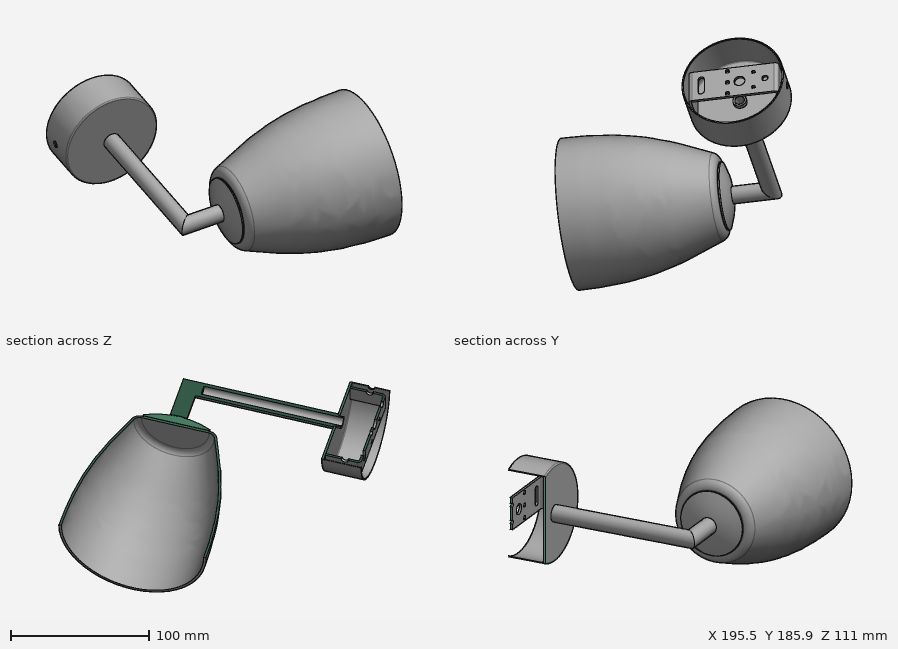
import cadquery as cq
import math

CANOPY_DIAMETER = 75.0
CANOPY_DEPTH = 30.0
CANOPY_WALL = 1.0
CANOPY_FLOOR = 2.0
CANOPY_EDGE_RADIUS = 1.0
CANOPY_INNER_EDGE_RADIUS = 0.5
CANOPY_FLOOR_X = CANOPY_DEPTH - CANOPY_FLOOR
CANOPY_RADIUS = CANOPY_DIAMETER / 2
CANOPY_INNER_RADIUS = CANOPY_RADIUS - CANOPY_WALL

BRACKET_LENGTH = 66.5
BRACKET_HEIGHT = 25.0
BRACKET_SHEET = 2.0
BRACKET_BACK_X = 1.25
BEND_OUTER_RADIUS = 3.0
MOUNT_OFFSET = 23.5
MOUNT_DIAMETER = 4.5
SLOT_LENGTH = 15.0
CENTRE_HOLE_Y = -4.75
CENTRE_HOLE_DIAMETER = 8.0
TRIO_Y = 4.25
TRIO_PITCH = 9.75
TRIO_DIAMETER = 3.0
PAIR_Y = -15.0
PAIR_PITCH = 13.3
PAIR_DIAMETER = 2.5

SCREW_HOLE_DIAMETER = 5.0
SCREW_HOLE_X = 13.5

ARM_DIAMETER = 13.0
SPIGOT_DIAMETER = 10.0
SPIGOT_END_X = 25.0
ARM_BORE_DIAMETER = 7.0
ARM_BORE_END_X = 130.0
ARM_CORNER_X = 140.0

DOME_APEX_Y = 28.0
DOME_EDGE_Y = 33.4
DOME_RADIUS = 25.0
DOME_RIM_TOP_Y = 34.5
DOME_SEAT_RADIUS = 24.6

SHADE_BOTTOM_Y = 34.9
SHADE_TOP_Y = 148.4
SHADE_RADIUS = 55.5
SHADE_WALL = 2.0
SHADE_BOTTOM_RADIUS = 25.4
SHADE_ROUNDING_RADIUS = 7.4
SHADE_FOOT_ANGLE = math.radians(23)
SHADE_MIDDLE_Y = 91.0
SHADE_MIDDLE_RADIUS = 50.0


def rod(direction, diameter, start, end, first=0.0, second=0.0):
    """Cylinder along +X or +Y; first and second place its axis (Y, Z or X, Z)."""
    if direction == "X":
        base, axis = cq.Vector(start, first, second), cq.Vector(1, 0, 0)
    else:
        base, axis = cq.Vector(first, start, second), cq.Vector(0, 1, 0)
    return cq.Workplane(cq.Solid.makeCylinder(diameter / 2, end - start, base, axis))


def make_canopy():
    outside = rod("X", CANOPY_DIAMETER, 0, CANOPY_DEPTH).faces(">X").edges().fillet(CANOPY_EDGE_RADIUS)
    inside = rod("X", 2 * CANOPY_INNER_RADIUS, 0, CANOPY_FLOOR_X)
    inside = inside.faces(">X").edges().fillet(CANOPY_INNER_EDGE_RADIUS)
    spigot_hole = rod("X", SPIGOT_DIAMETER, CANOPY_FLOOR_X, CANOPY_DEPTH)
    screw_hole = rod("Y", SCREW_HOLE_DIAMETER, -CANOPY_RADIUS, 0, SCREW_HOLE_X)
    return outside.cut(inside).cut(spigot_hole).cut(screw_hole)


def make_bracket():
    depth = CANOPY_FLOOR_X - BRACKET_BACK_X
    outside = (
        cq.Workplane("XY")
        .box(depth, BRACKET_LENGTH, BRACKET_HEIGHT, centered=(False, True, True))
        .edges("|Z and <X")
        .fillet(BEND_OUTER_RADIUS)
    )
    inside = (
        cq.Workplane("XY")
        .box(depth, BRACKET_LENGTH - 2 * BRACKET_SHEET, BRACKET_HEIGHT, centered=(False, True, True))
        .edges("|Z and <X")
        .fillet(BEND_OUTER_RADIUS - BRACKET_SHEET)
        .translate((BRACKET_SHEET, 0, 0))
    )
    bracket = outside.cut(inside).translate((BRACKET_BACK_X, 0, 0))

    holes = [
        (MOUNT_DIAMETER, -MOUNT_OFFSET, 0),
        (CENTRE_HOLE_DIAMETER, CENTRE_HOLE_Y, 0),
    ]
    holes += [(TRIO_DIAMETER, TRIO_Y, row * TRIO_PITCH) for row in (-1, 0, 1)]
    holes += [(PAIR_DIAMETER, PAIR_Y, side * PAIR_PITCH / 2) for side in (-1, 1)]
    web_inner_x = BRACKET_BACK_X + BRACKET_SHEET
    for diameter, y, z in holes:
        bracket = bracket.cut(rod("X", diameter, BRACKET_BACK_X, web_inner_x, y, z))

    slot = (
        cq.Workplane("YZ", origin=(BRACKET_BACK_X, MOUNT_OFFSET, 0))
        .slot2D(SLOT_LENGTH, MOUNT_DIAMETER, 90)
        .extrude(BRACKET_SHEET)
    )
    screw_holes = rod("Y", SCREW_HOLE_DIAMETER, -CANOPY_RADIUS, CANOPY_RADIUS, SCREW_HOLE_X)
    return bracket.cut(slot).cut(screw_holes)


def make_arm(dome):
    radius = ARM_DIAMETER / 2
    tip_x = ARM_CORNER_X + radius
    long_leg = rod("X", ARM_DIAMETER, CANOPY_DEPTH, tip_x)
    short_leg = rod("Y", ARM_DIAMETER, -radius, DOME_EDGE_Y, ARM_CORNER_X)

    mitre = (
        cq.Workplane("XY", origin=(0, 0, -radius))
        .moveTo(tip_x, -radius)
        .lineTo(CANOPY_DEPTH, -radius)
        .lineTo(CANOPY_DEPTH, tip_x - CANOPY_DEPTH - radius)
        .close()
        .extrude(ARM_DIAMETER)
    )
    arm = long_leg.intersect(mitre).union(short_leg.cut(mitre)).cut(dome)

    spigot = rod("X", SPIGOT_DIAMETER, SPIGOT_END_X, CANOPY_DEPTH)
    bore = rod("X", ARM_BORE_DIAMETER, SPIGOT_END_X, ARM_BORE_END_X)
    return arm.union(spigot).cut(bore)


def make_dome():
    rise = DOME_EDGE_Y - DOME_APEX_Y
    sphere_radius = (DOME_RADIUS**2 + rise**2) / (2 * rise)
    half_angle = math.asin(DOME_RADIUS / sphere_radius) / 2
    arc_middle = (
        sphere_radius * math.sin(half_angle),
        DOME_APEX_Y + sphere_radius * (1 - math.cos(half_angle)),
    )
    profile = (
        cq.Workplane("XY")
        .moveTo(0, DOME_APEX_Y)
        .threePointArc(arc_middle, (DOME_RADIUS, DOME_EDGE_Y))
        .lineTo(DOME_RADIUS, DOME_RIM_TOP_Y)
        .lineTo(DOME_SEAT_RADIUS, DOME_RIM_TOP_Y)
        .lineTo(DOME_SEAT_RADIUS, SHADE_BOTTOM_Y)
        .lineTo(0, SHADE_BOTTOM_Y)
        .close()
    )
    return profile.revolve(360, (0, 0, 0), (0, 1, 0)).translate((ARM_CORNER_X, 0, 0))


def shade_volume(inset):
    """Bell turned about the shade axis, all its sides moved inward by inset."""
    rounding = SHADE_ROUNDING_RADIUS - inset
    rounding_centre_y = SHADE_BOTTOM_Y + SHADE_ROUNDING_RADIUS
    foot = (
        SHADE_BOTTOM_RADIUS + rounding * math.cos(SHADE_FOOT_ANGLE),
        rounding_centre_y - rounding * math.sin(SHADE_FOOT_ANGLE),
    )
    foot_direction = (math.sin(SHADE_FOOT_ANGLE), math.cos(SHADE_FOOT_ANGLE))
    profile = (
        cq.Workplane("XY")
        .moveTo(0, SHADE_BOTTOM_Y + inset)
        .lineTo(SHADE_BOTTOM_RADIUS, SHADE_BOTTOM_Y + inset)
        .tangentArcPoint(foot, relative=False)
        .spline(
            [(SHADE_MIDDLE_RADIUS - inset, SHADE_MIDDLE_Y), (SHADE_RADIUS - inset, SHADE_TOP_Y)],
            tangents=[foot_direction, (0, 1)],
            includeCurrent=True,
        )
        .lineTo(0, SHADE_TOP_Y)
        .close()
    )
    return profile.revolve(360, (0, 0, 0), (0, 1, 0)).translate((ARM_CORNER_X, 0, 0))


def make_shade():
    return shade_volume(0).cut(shade_volume(SHADE_WALL))


canopy = make_canopy()
bracket = make_bracket()
dome = make_dome()
arm = make_arm(dome)
shade = make_shade()

result = cq.Compound.makeCompound(
    [canopy.val(), bracket.val(), arm.val(), dome.val(), shade.val()]
)